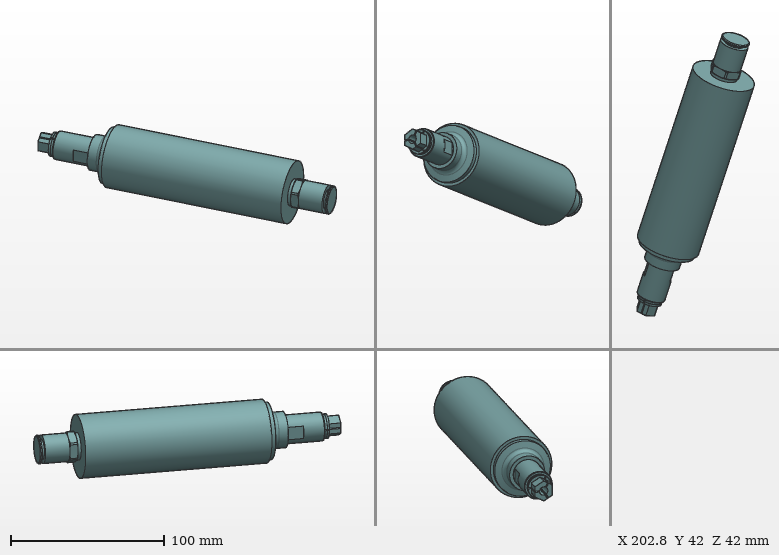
import cadquery as cq
import math

total_length = 202.8
axis_start = -total_length / 2

flange_start = 8.1
flange_end = 9.5
shaft_start = 11.4
shaft_chamfer_length = 0.6
flats_start = 25.8
flats_end = 36.3
collar_start = 36.7
collar_end = 43.0
body_start = 50.0
body_end = 175.2
hex_start = 177.5
hex_end = 183.0
fitting_end = 199.4
ring_start = 201.4

collet_hex_across_flats = 12.0
collet_flange_diameter = 16.2
collet_neck_diameter = 15.8
collet_bore_diameter = 5.7
slit_count = 3
slit_width = 0.8

shaft_diameter = 19.0
shaft_tip_diameter = 18.5
shaft_across_flats = 17.0

collar_diameter = 24.0
blend_radius = 3.0
cone_lean = math.radians(12)
rim_diameter = 38.0

body_diameter = 42.0

fitting_neck_diameter = 18.0
fitting_hex_across_flats = 18.9
fitting_hex_round_diameter = 21.0
fitting_hex_end_diameter = 19.5
fitting_hex_chamfer_angle = math.radians(30)
fitting_diameter = 18.9
ring_groove_diameter = 13.2
ring_chamfer = 0.6


def cylinder(start, end, diameter):
    """Solid cylinder on the X axis between two stations."""
    plane = cq.Workplane("YZ", origin=(axis_start + start, 0, 0))
    return plane.circle(diameter / 2).extrude(end - start)


def hex_prism(start, end, across_flats):
    """Hexagonal prism on the X axis with flats facing +Y and -Y."""
    corner_diameter = across_flats / math.cos(math.pi / 6)
    plane = cq.Workplane("YZ", origin=(axis_start + start, 0, 0))
    return plane.transformed(rotate=(0, 0, 90)).polygon(6, corner_diameter).extrude(end - start)


def make_collet():
    """Hexagonal collet with a flange, a central bore and radial clamping slits."""
    collet = hex_prism(0, flange_start, collet_hex_across_flats)
    collet = collet.union(cylinder(flange_start, flange_end, collet_flange_diameter))
    collet = collet.union(cylinder(flange_end, shaft_start, collet_neck_diameter))
    collet = collet.cut(cylinder(0, shaft_start, collet_bore_diameter))
    slit_depth = collet_flange_diameter / 2
    slit = cq.Workplane("XY").box(shaft_start, slit_depth, slit_width, centered=(False, False, True))
    slit = slit.translate((axis_start, 0, 0))
    for index in range(slit_count):
        angle = index * 360 / slit_count
        collet = collet.cut(slit.rotate((0, 0, 0), (1, 0, 0), angle))
    return collet


def make_shaft():
    """Round shaft with a chamfered tip and two opposite wrench flats."""
    outline = (
        cq.Workplane("XY")
        .moveTo(axis_start + shaft_start, 0)
        .lineTo(axis_start + shaft_start, shaft_tip_diameter / 2)
        .lineTo(axis_start + shaft_start + shaft_chamfer_length, shaft_diameter / 2)
        .lineTo(axis_start + collar_start, shaft_diameter / 2)
        .lineTo(axis_start + collar_start, 0)
        .close()
    )
    shaft = outline.revolve(360, (0, 0, 0), (1, 0, 0))
    flat_length = flats_end - flats_start
    flat_center = axis_start + (flats_start + flats_end) / 2
    for side in (-1, 1):
        cutter = cq.Workplane("XY").box(flat_length, shaft_diameter, shaft_diameter)
        offset = side * (shaft_across_flats + shaft_diameter) / 2
        shaft = shaft.cut(cutter.translate((flat_center, offset, 0)))
    return shaft


def make_cap():
    """Collar that sweeps through a concave blend and a steep cone to the rim."""
    collar_radius = collar_diameter / 2
    rim_radius = rim_diameter / 2
    turn = math.pi / 2 - cone_lean

    def blend_point(angle):
        x = axis_start + collar_end + blend_radius * math.sin(angle)
        return x, collar_radius + blend_radius * (1 - math.cos(angle))

    blend_x, blend_y = blend_point(turn)
    rim_start_x = blend_x + (rim_radius - blend_y) * math.tan(cone_lean)
    outline = (
        cq.Workplane("XY")
        .moveTo(axis_start + collar_start, 0)
        .lineTo(axis_start + collar_start, collar_radius)
        .lineTo(axis_start + collar_end, collar_radius)
        .threePointArc(blend_point(turn / 2), (blend_x, blend_y))
        .lineTo(rim_start_x, rim_radius)
        .lineTo(axis_start + body_start, rim_radius)
        .lineTo(axis_start + body_start, 0)
        .close()
    )
    return outline.revolve(360, (0, 0, 0), (1, 0, 0))


def make_fitting_hex():
    """Wrench hexagon with its corners turned down and both ends chamfered."""
    chamfer_depth = (fitting_hex_round_diameter - fitting_hex_end_diameter) / 2
    chamfer_length = chamfer_depth * math.tan(fitting_hex_chamfer_angle)
    envelope = (
        cq.Workplane("XY")
        .moveTo(axis_start + hex_start, 0)
        .lineTo(axis_start + hex_start, fitting_hex_end_diameter / 2)
        .lineTo(axis_start + hex_start + chamfer_length, fitting_hex_round_diameter / 2)
        .lineTo(axis_start + hex_end - chamfer_length, fitting_hex_round_diameter / 2)
        .lineTo(axis_start + hex_end, fitting_hex_end_diameter / 2)
        .lineTo(axis_start + hex_end, 0)
        .close()
        .revolve(360, (0, 0, 0), (1, 0, 0))
    )
    return hex_prism(hex_start, hex_end, fitting_hex_across_flats).intersect(envelope)


def make_fitting():
    """Rear hose fitting: neck, hexagon, sleeve and release ring."""
    fitting = cylinder(body_end, hex_start, fitting_neck_diameter)
    sleeve = cylinder(hex_end, fitting_end, fitting_diameter)
    groove = cylinder(fitting_end, ring_start, ring_groove_diameter)
    ring = cylinder(ring_start, total_length, fitting_diameter).faces(">X").edges().chamfer(ring_chamfer)
    for section in (make_fitting_hex(), sleeve, groove, ring):
        fitting = fitting.union(section)
    return fitting


result = cylinder(body_start, body_end, body_diameter)
for section in (make_cap(), make_shaft(), make_collet(), make_fitting()):
    result = result.union(section)